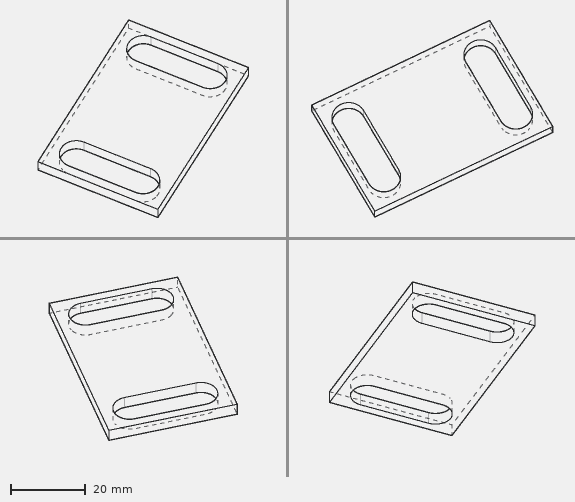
import cadquery as cq

plate_width = 36.0
plate_length = 54.0
plate_thickness = 3.6

slot_length = 29.0
slot_width = 9.0
slot_spacing = 40.0


def make_plate():
    """Flat rectangular plate centred on the origin."""
    return cq.Workplane("XY").box(plate_width, plate_length, plate_thickness)


def cut_slots(plate):
    """Cut both round-ended slots through the full thickness."""
    slot_centres = [(0, -slot_spacing / 2), (0, slot_spacing / 2)]
    return (
        plate.faces(">Z")
        .workplane()
        .pushPoints(slot_centres)
        .slot2D(slot_length, slot_width)
        .cutThruAll()
    )


result = cut_slots(make_plate())